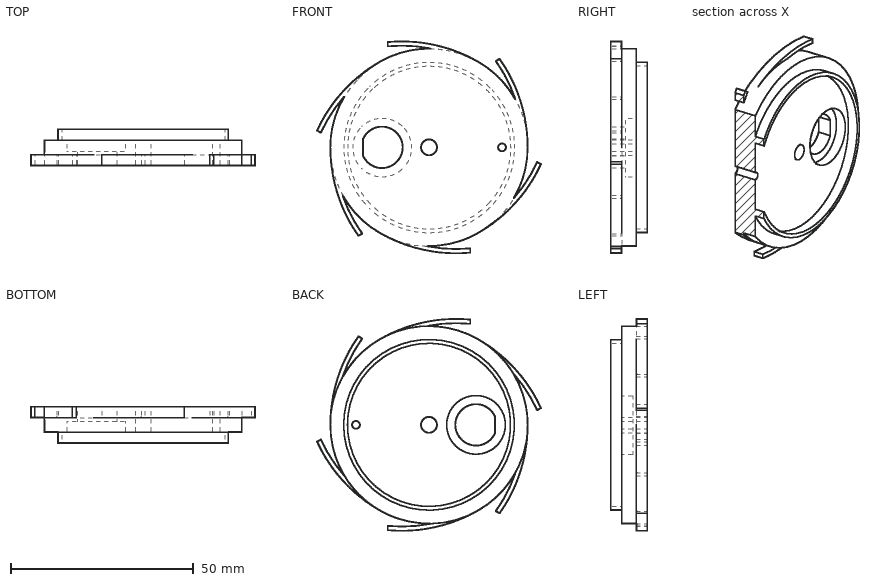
import cadquery as cq
import math

disc_radius = 27.05
disc_depth = 7.0
boss_radius = 23.35
total_depth = 10.0

arm_count = 6
arm_depth = 3.0
arm_thickness = 1.2
arm_outer_radius = 41.95
arm_inner_radius = arm_outer_radius - arm_thickness
arm_tip_x = -11.35
arm_root_angle = math.radians(60)

centre_hole_radius = 2.15
pin_hole_radius = 1.05
pin_hole_x = 20.0
window_radius = 5.65
window_x = -12.9
window_flat_x = -18.05

boss_recess_radius = 22.3
boss_recess_floor = disc_depth
window_recess_radius = 8.05
window_recess_floor = 4.0


def cylinder(radius, end, x=0, start=0):
    """Cylinder along +Y between two distances from the front face."""
    return cq.Workplane("XZ", origin=(x, start, 0)).circle(radius).extrude(start - end)


def make_arm():
    """Concentric arc band, tangent to the disc at its root and cut off vertically at its tip."""
    centre_distance = disc_radius - arm_outer_radius
    centre_x = centre_distance * math.cos(arm_root_angle)
    centre_z = centre_distance * math.sin(arm_root_angle)

    def on_arc(radius, angle):
        return (centre_x + radius * math.cos(angle), centre_z + radius * math.sin(angle))

    def tip_angle(radius):
        return math.acos((arm_tip_x - centre_x) / radius)

    outer_tip = tip_angle(arm_outer_radius)
    inner_tip = tip_angle(arm_inner_radius)
    outer_middle = (arm_root_angle + outer_tip) / 2
    inner_middle = (arm_root_angle + inner_tip) / 2
    return (
        cq.Workplane("XZ")
        .moveTo(*on_arc(arm_outer_radius, arm_root_angle))
        .threePointArc(on_arc(arm_outer_radius, outer_middle), on_arc(arm_outer_radius, outer_tip))
        .lineTo(*on_arc(arm_inner_radius, inner_tip))
        .threePointArc(on_arc(arm_inner_radius, inner_middle), on_arc(arm_inner_radius, arm_root_angle))
        .close()
        .extrude(-arm_depth)
    )


def make_window():
    """Round window with a vertical flat on its -X side."""
    flat_side = (
        cq.Workplane("XY")
        .box(2 * window_radius, total_depth, 2 * window_radius, centered=(False, False, True))
        .translate((window_flat_x, 0, 0))
    )
    return cylinder(window_radius, total_depth, window_x).intersect(flat_side)


result = cylinder(disc_radius, disc_depth).union(cylinder(boss_radius, total_depth))

arm = make_arm()
for index in range(arm_count):
    result = result.union(arm.rotate((0, 0, 0), (0, 1, 0), index * 360 / arm_count))

result = result.cut(cylinder(boss_recess_radius, total_depth, start=boss_recess_floor))
result = result.cut(cylinder(window_recess_radius, total_depth, window_x, window_recess_floor))
result = result.cut(cylinder(centre_hole_radius, total_depth))
result = result.cut(cylinder(pin_hole_radius, total_depth, pin_hole_x))
result = result.cut(make_window())